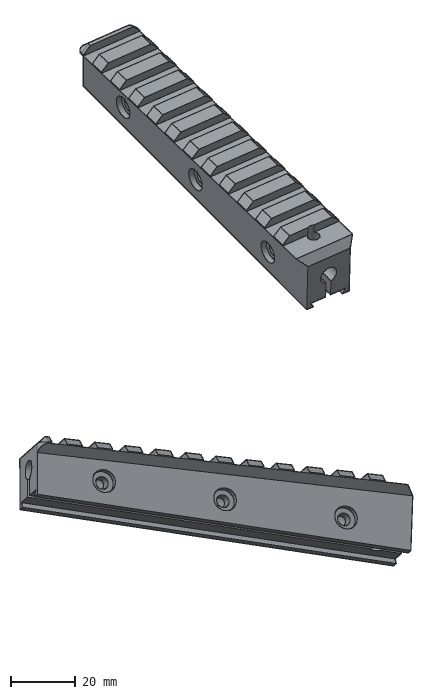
import cadquery as cq
import math

LENGTH = 124.1
RAIL_WIDTH = 21.2
BODY_WIDTH = 16.0
HEIGHT = 23.6
BASE_TILT = 2.0

FLANK = (RAIL_WIDTH - BODY_WIDTH) / 2
SIDE_LAND = 0.4
LAND_BOTTOM_Z = -(FLANK + SIDE_LAND)
HEAD_BOTTOM_Z = LAND_BOTTOM_Z - FLANK
END_CORNER_RADIUS = 3.0

SLOT_FLOOR_Z = -3.0
SLOT_COUNT = 11
FIRST_SLOT_START = 4.0
TAIL_START = 114.1
TOOTH_PITCH = (TAIL_START - FIRST_SLOT_START) / SLOT_COUNT
SLOT_WIDTH = TOOTH_PITCH / 2

GROOVE_OPENING = 10.9
GROOVE_DEPTH = 1.9
GROOVE_FLANK_ANGLE = 60.0
BORE_DIAMETER = 6.0
BORE_HEIGHT = 10.5
SLIT_WIDTH = 1.9

SIDE_HOLE_COUNT = 3
SIDE_HOLE_SPACING = 40.0
SIDE_HOLE_DIAMETER = 4.1
COUNTERBORE_DIAMETER = 7.5
COUNTERBORE_DEPTH = 2.0
FIRST_SIDE_HOLE_X = 22.1
FIRST_SIDE_HOLE_Z = -12.4

TAIL_HOLE_DIAMETER = 3.8
TAIL_HOLE_X = 115.5

BASE_SLOPE = math.tan(math.radians(BASE_TILT))
BASE_END_X = LENGTH - (HEIGHT + HEAD_BOTTOM_Z) * BASE_SLOPE
BASE_START_Z = -HEIGHT + BASE_END_X * BASE_SLOPE
ALONG_BASE = cq.Vector(1, 0, -BASE_SLOPE).normalized()
ABOVE_BASE = cq.Vector(BASE_SLOPE, 0, 1).normalized()
OVERRUN = 6.2


def make_side_profile():
    """Full-width block with the side profile: low tail, 45 degree tail slope and tilted base."""
    tail_slope_start = LENGTH - (SLOT_FLOOR_Z - HEAD_BOTTOM_Z)
    return (
        cq.Workplane("XZ")
        .polyline([
            (0, 0),
            (TAIL_START, 0),
            (TAIL_START, SLOT_FLOOR_Z),
            (tail_slope_start, SLOT_FLOOR_Z),
            (LENGTH, HEAD_BOTTOM_Z),
            (BASE_END_X, -HEIGHT),
            (0, BASE_START_Z),
        ])
        .close()
        .extrude(RAIL_WIDTH / 2, both=True)
    )


def make_cross_section():
    """Full-length bar with the rail cross-section: land, lower 45 degree flanks and upright body."""
    half_body = BODY_WIDTH / 2
    half_rail = RAIL_WIDTH / 2
    return (
        cq.Workplane("YZ")
        .moveTo(0, 0)
        .lineTo(half_rail, 0)
        .lineTo(half_rail, LAND_BOTTOM_Z)
        .lineTo(half_body, HEAD_BOTTOM_Z)
        .lineTo(half_body, -HEIGHT)
        .lineTo(0, -HEIGHT)
        .mirrorY()
        .extrude(LENGTH)
    )


def make_rounded_plan():
    """Block rounded at the -X corners, with the upper 45 degree flank wrapped around them."""
    return (
        cq.Workplane("XY")
        .center((LENGTH + OVERRUN) / 2, 0)
        .rect(LENGTH + OVERRUN, RAIL_WIDTH)
        .extrude(-HEIGHT)
        .edges("|Z and <X")
        .fillet(END_CORNER_RADIUS)
        .faces(">Z")
        .chamfer(FLANK)
    )


def make_slots():
    """Equally spaced cross slots between the teeth."""
    slots = cq.Workplane("XY")
    for index in range(SLOT_COUNT):
        start = FIRST_SLOT_START + index * TOOTH_PITCH
        slot = cq.Workplane("XY").box(
            SLOT_WIDTH, RAIL_WIDTH + OVERRUN, -SLOT_FLOOR_Z + OVERRUN, centered=(False, True, False)
        )
        slots = slots.add(slot.translate((start, 0, SLOT_FLOOR_Z)))
    return slots.combine()


def make_base_cutter():
    """Dovetail groove, bore and slit, all running the whole length parallel to the base."""
    start = cq.Vector(0, 0, BASE_START_Z) - ALONG_BASE * OVERRUN
    section = cq.Workplane(cq.Plane(start, xDir=(0, 1, 0), normal=ALONG_BASE))
    reach = LENGTH + 2 * OVERRUN
    half_opening = GROOVE_OPENING / 2
    half_ceiling = half_opening + GROOVE_DEPTH / math.tan(math.radians(GROOVE_FLANK_ANGLE))
    groove = (
        section.polyline([
            (-half_opening, 0),
            (half_opening, 0),
            (half_ceiling, GROOVE_DEPTH),
            (-half_ceiling, GROOVE_DEPTH),
        ])
        .close()
        .extrude(reach)
    )
    bore = section.center(0, BORE_HEIGHT).circle(BORE_DIAMETER / 2).extrude(reach)
    slit = section.center(0, BORE_HEIGHT / 2).rect(SLIT_WIDTH, BORE_HEIGHT).extrude(reach)
    return groove.union(bore).union(slit)


def make_side_hole(x, z):
    """Cross hole through both walls with a counterbore on the -Y side."""
    face = cq.Workplane("XZ", origin=(x, -BODY_WIDTH / 2, z))
    hole = face.circle(SIDE_HOLE_DIAMETER / 2).extrude(-BODY_WIDTH)
    return hole.union(face.circle(COUNTERBORE_DIAMETER / 2).extrude(-COUNTERBORE_DEPTH))


def make_tail_hole():
    """Hole square to the base, opening at the step from the last tooth to the tail."""
    mouth = cq.Vector(TAIL_HOLE_X, 0, SLOT_FLOOR_Z) + ABOVE_BASE * OVERRUN
    plane = cq.Plane(mouth, xDir=ALONG_BASE, normal=ABOVE_BASE)
    return cq.Workplane(plane).circle(TAIL_HOLE_DIAMETER / 2).extrude(-(HEIGHT + OVERRUN))


result = make_rounded_plan().intersect(make_cross_section()).intersect(make_side_profile())
result = result.cut(make_slots())
result = result.cut(make_base_cutter())
for index in range(SIDE_HOLE_COUNT):
    offset = index * SIDE_HOLE_SPACING
    hole_x = FIRST_SIDE_HOLE_X + offset
    hole_z = FIRST_SIDE_HOLE_Z - offset * BASE_SLOPE
    result = result.cut(make_side_hole(hole_x, hole_z))
result = result.cut(make_tail_hole())